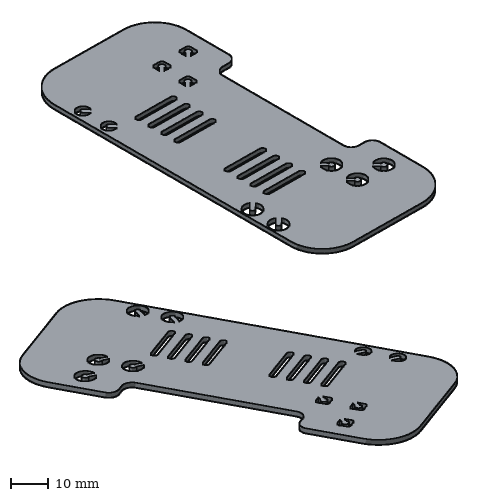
import cadquery as cq

length = 114.5
width = 50.0
thickness = 1.6
corner_radius = 12.0

notch_width = 52.1
notch_depth = 8.1
notch_radius = 3.0

pattern_axis_x = -0.2
row_span = 39.8
row_pitch = row_span / 4
inner_column = 27.5
outer_column = inner_column + row_pitch
front_row_y = -21.6
rear_row_y = front_row_y + row_span
middle_row_y = rear_row_y - row_pitch

slot_width = 2.0
slot_length = 15.0
slot_pitch = row_pitch / 2
slots_per_group = 4
first_slot_offset = 9.6
slot_y = (front_row_y + middle_row_y) / 2

large_opening_diameter = 6.0
small_opening_diameter = 4.5
square_opening_side = 3.9
square_corner_radius = 0.9
rear_pad_diameter = 2.1
rear_tongue_width = 1.4
front_tongue_width = 1.6


def prism(sketch):
    return sketch.extrude(thickness)


def plate():
    body = prism(cq.Workplane().rect(length, width))
    body = body.edges("|Z").fillet(corner_radius)
    notch_floor_y = width / 2 - notch_depth
    notch = prism(cq.Workplane().center(0, width / 2).rect(notch_width, 2 * notch_depth))
    body = body.cut(notch)
    margin = notch_radius / 2
    half_span = notch_width / 2 + margin
    notch_edges = cq.selectors.BoxSelector(
        (-half_span, notch_floor_y - margin, -thickness),
        (half_span, width / 2 + margin, 2 * thickness),
    )
    return body.edges("|Z").edges(notch_edges).fillet(notch_radius)


def vent_slots():
    offsets = [first_slot_offset + i * slot_pitch for i in range(slots_per_group)]
    points = [(pattern_axis_x + side * offset, slot_y) for side in (-1, 1) for offset in offsets]
    return prism(cq.Workplane().pushPoints(points).slot2D(slot_length, slot_width, 90))


def round_opening(diameter):
    return prism(cq.Workplane().circle(diameter / 2))


def square_opening():
    block = prism(cq.Workplane().rect(square_opening_side, square_opening_side))
    return block.edges("|Z").fillet(square_corner_radius)


def tongue(direction, tongue_width, pad_diameter):
    """Round pad at the origin with an arm leaving it at the given angle in degrees."""
    reach = large_opening_diameter
    arm = prism(cq.Workplane().center(reach / 2, 0).rect(reach, tongue_width))
    arm = arm.rotate((0, 0, 0), (0, 0, 1), direction)
    return arm.union(prism(cq.Workplane().circle(pad_diameter / 2)))


def cut_at(body, cutter, points):
    for x, y in points:
        body = body.cut(cutter.translate((pattern_axis_x + x, y, 0)))
    return body


def rear_group(side):
    """Three centres in an L: two on the outer column and one on the inner column."""
    return [
        (side * outer_column, rear_row_y),
        (side * outer_column, middle_row_y),
        (side * inner_column, middle_row_y),
    ]


def front_group(side):
    return [(side * outer_column, front_row_y), (side * inner_column, front_row_y)]


rear_left = square_opening().cut(tongue(-45, rear_tongue_width, rear_pad_diameter))
rear_right = round_opening(large_opening_diameter).cut(tongue(-135, rear_tongue_width, rear_pad_diameter))
front_left = round_opening(small_opening_diameter).cut(tongue(45, front_tongue_width, front_tongue_width))
front_right = round_opening(large_opening_diameter).cut(tongue(135, front_tongue_width, front_tongue_width))

result = plate().cut(vent_slots())
result = cut_at(result, rear_left, rear_group(-1))
result = cut_at(result, rear_right, rear_group(1))
result = cut_at(result, front_left, front_group(-1))
result = cut_at(result, front_right, front_group(1))